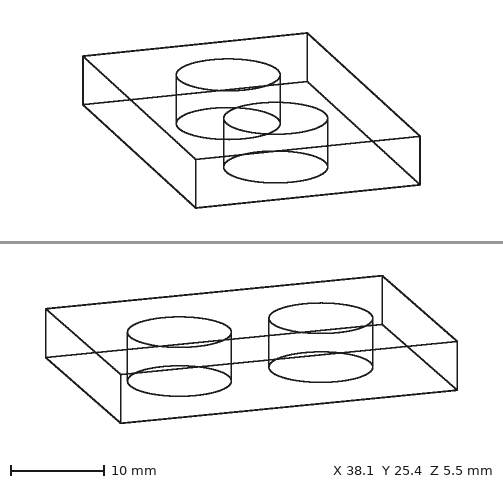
import cadquery as cq

length = 38.1
width = 25.4
thickness = 5.5

hole_diameter = 11.15
hole_spacing = 16.0
hole_pair_shift = 0.15

hole_centres = [(hole_pair_shift + side * hole_spacing / 2, 0) for side in (-1, 1)]

plate = cq.Workplane("XY").box(length, width, thickness)
result = plate.faces(">Z").workplane().pushPoints(hole_centres).hole(hole_diameter)